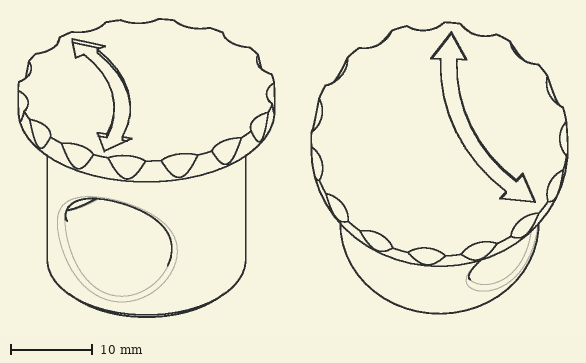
import cadquery as cq
import math

PIN_DIAMETER = 6.0
PIN_LENGTH = 3.12
BODY_DIAMETER = 24.38
BODY_LENGTH = 23.0
BODY_CHAMFER = 1.0
CAP_DIAMETER = 31.5
CAP_THICKNESS = 3.1

BODY_RADIUS = BODY_DIAMETER / 2
CAP_RADIUS = CAP_DIAMETER / 2
BODY_TOP = PIN_LENGTH + BODY_LENGTH
TOP = BODY_TOP + CAP_THICKNESS

PORT_ANGLES = (180.0, 300.0)
BORE_DIAMETER = 14.0
BORE_DEPTH_BELOW_TOP = 16.0
BORE_EDGE_RADIUS = 0.5
BISECTOR = math.radians(sum(PORT_ANGLES) / 2)
HALF_SPREAD = math.radians(PORT_ANGLES[1] - PORT_ANGLES[0]) / 2
BEND_RADIUS = BODY_RADIUS * math.tan(HALF_SPREAD)
BEND_DISTANCE = BODY_RADIUS / math.cos(HALF_SPREAD)
BEND_CENTER = (BEND_DISTANCE * math.cos(BISECTOR), BEND_DISTANCE * math.sin(BISECTOR))

SCALLOP_COUNT = 15
SCALLOP_AXIS_RADIUS = 18.43
SCALLOP_TOP_CUT = 1.0
SCALLOP_HEIGHT = 2.77

ARROW_DEPTH = 0.5
ARROW_BAND_WIDTH = 2.0
ARROW_HEAD_WIDTH = 4.4
ARROW_TIP_RADIUS = 14.5
ARROW_HEAD_TURN = 3.7


def make_blank():
    """Pin, chamfered body and cap as one turned shape."""
    pin = cq.Workplane("XY").circle(PIN_DIAMETER / 2).extrude(PIN_LENGTH)
    body = (
        cq.Workplane("XY")
        .workplane(offset=PIN_LENGTH)
        .circle(BODY_RADIUS)
        .extrude(BODY_LENGTH)
        .faces("<Z")
        .chamfer(BODY_CHAMFER)
    )
    cap = cq.Workplane("XY").workplane(offset=BODY_TOP).circle(CAP_RADIUS).extrude(CAP_THICKNESS)
    return body.union(pin).union(cap)


def cut_bore(part):
    """Cut the ring-shaped bore and round the edges of its two ports."""
    bore = cq.Workplane("XY").add(
        cq.Solid.makeTorus(
            BEND_RADIUS,
            BORE_DIAMETER / 2,
            cq.Vector(*BEND_CENTER, TOP - BORE_DEPTH_BELOW_TOP),
            cq.Vector(0, 0, 1),
        )
    )
    bored = part.cut(bore)
    return bored.faces("%TORUS").edges("not %CIRCLE").fillet(BORE_EDGE_RADIUS)


def make_scallops():
    """Cones that taper downward, evenly spaced around the cap."""
    tip_radius = SCALLOP_AXIS_RADIUS - CAP_RADIUS
    cone = cq.Solid.makeCone(
        tip_radius,
        tip_radius + SCALLOP_TOP_CUT,
        SCALLOP_HEIGHT,
        pnt=cq.Vector(0, 0, TOP - SCALLOP_HEIGHT),
    )
    return (
        cq.Workplane("XY")
        .polarArray(SCALLOP_AXIS_RADIUS, 0, 360, SCALLOP_COUNT)
        .eachpoint(lambda place: cone.moved(place), combine=False)
    )


def bend_point(radius, angle):
    """Point at a radius and angle (degrees) around the bend center."""
    turn = math.radians(angle)
    return (
        BEND_CENTER[0] + radius * math.cos(turn),
        BEND_CENTER[1] + radius * math.sin(turn),
    )


def arrow_tip(port_angle):
    """Point of the arrow head that points out toward a port."""
    turn = math.radians(port_angle)
    return (ARROW_TIP_RADIUS * math.cos(turn), ARROW_TIP_RADIUS * math.sin(turn))


def make_arrow():
    """Curved arrow with a head toward each port."""
    first_base = PORT_ANGLES[0] - 90 - ARROW_HEAD_TURN
    second_base = PORT_ANGLES[1] + 90 - 360 + ARROW_HEAD_TURN
    middle = (first_base + second_base) / 2
    band_outer = BEND_RADIUS + ARROW_BAND_WIDTH / 2
    band_inner = BEND_RADIUS - ARROW_BAND_WIDTH / 2
    head_outer = BEND_RADIUS + ARROW_HEAD_WIDTH / 2
    head_inner = BEND_RADIUS - ARROW_HEAD_WIDTH / 2
    return (
        cq.Workplane("XY")
        .workplane(offset=TOP - ARROW_DEPTH)
        .moveTo(*arrow_tip(PORT_ANGLES[0]))
        .lineTo(*bend_point(head_outer, first_base))
        .lineTo(*bend_point(band_outer, first_base))
        .threePointArc(bend_point(band_outer, middle), bend_point(band_outer, second_base))
        .lineTo(*bend_point(head_outer, second_base))
        .lineTo(*arrow_tip(PORT_ANGLES[1]))
        .lineTo(*bend_point(head_inner, second_base))
        .lineTo(*bend_point(band_inner, second_base))
        .threePointArc(bend_point(band_inner, middle), bend_point(band_inner, first_base))
        .lineTo(*bend_point(head_inner, first_base))
        .close()
        .extrude(ARROW_DEPTH)
    )


result = cut_bore(make_blank()).cut(make_scallops()).cut(make_arrow())